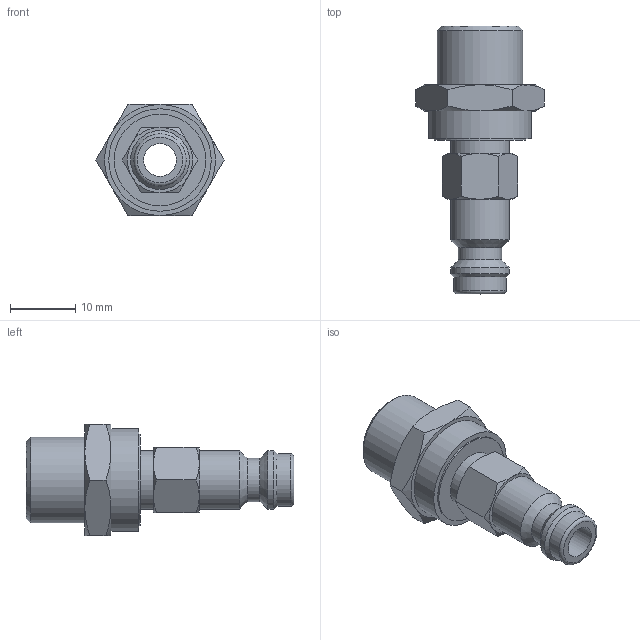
import cadquery as cq
import math


bore_diameter = 5.0
thread_diameter = 13.157
thread_chamfer = 0.7
thread_length = 9.0

large_hex_width = 17.0
large_hex_length = 4.0
collar_diameter = 15.7
collar_length = 4.25
lip_diameter = 14.0
lip_length = 0.25

shank_diameter = 9.0
neck_length = 2.0
small_hex_width = 10.0
small_hex_length = 7.0

shank_length = 6.2
groove_diameter = 6.6
groove_floor_length = 1.9
bead_length = 0.9
tip_diameter = 8.0
tip_round = 0.5
total_length = 41.0

hex_chamfer_angle = math.radians(30)

large_hex_start = thread_length
collar_start = large_hex_start + large_hex_length
lip_start = collar_start + collar_length
neck_start = lip_start + lip_length
small_hex_start = neck_start + neck_length
shank_start = small_hex_start + small_hex_length
groove_start = shank_start + shank_length
groove_slope = (shank_diameter - groove_diameter) / 2
groove_floor_start = groove_start + groove_slope
groove_floor_end = groove_floor_start + groove_floor_length
bead_start = groove_floor_end + groove_slope
bead_end = bead_start + bead_length
tip_start = bead_end + (shank_diameter - tip_diameter) / 2


def cylinder(diameter, start, length):
    """Cylinder on the part axis, starting at a distance from the threaded end."""
    return cq.Workplane("XZ", origin=(0, -start, 0)).circle(diameter / 2).extrude(length)


def cone_ended_envelope(width, corner_radius, start, length):
    """Turned body that cuts the corners of a hexagon at both of its ends."""
    end_radius = width / 2
    chamfer_length = (corner_radius - end_radius) * math.tan(hex_chamfer_angle)
    end = start + length
    profile = [
        (0, -start),
        (end_radius, -start),
        (corner_radius, -start - chamfer_length),
        (corner_radius, -end + chamfer_length),
        (end_radius, -end),
        (0, -end),
    ]
    return cq.Workplane("XY").polyline(profile).close().revolve(360, (0, 0, 0), (0, 1, 0))


def chamfered_hexagon(width, start, length):
    """Hexagon with flats facing +Z and -Z and chamfered corners."""
    corner_radius = width / math.sqrt(3)
    prism = (
        cq.Workplane("XZ", origin=(0, -start, 0))
        .polygon(6, 2 * corner_radius)
        .extrude(length)
    )
    return prism.intersect(cone_ended_envelope(width, corner_radius, start, length))


def threaded_end():
    """Plain cylinder in place of the thread, chamfered at its free end."""
    return cylinder(thread_diameter, 0, thread_length).faces(">Y").chamfer(thread_chamfer)


def collar():
    """Collar with a shallow raised lip on its front face."""
    body = cylinder(collar_diameter, collar_start, collar_length)
    return body.union(cylinder(lip_diameter, lip_start, lip_length))


def plug():
    """Shank with locking groove, bead and rounded tip."""
    shank_radius = shank_diameter / 2
    groove_radius = groove_diameter / 2
    tip_radius = tip_diameter / 2
    profile = [
        (0, -shank_start),
        (shank_radius, -shank_start),
        (shank_radius, -groove_start),
        (groove_radius, -groove_floor_start),
        (groove_radius, -groove_floor_end),
        (shank_radius, -bead_start),
        (shank_radius, -bead_end),
        (tip_radius, -tip_start),
        (tip_radius, -total_length),
        (0, -total_length),
    ]
    body = cq.Workplane("XY").polyline(profile).close().revolve(360, (0, 0, 0), (0, 1, 0))
    return body.faces("<Y").edges().fillet(tip_round)


result = (
    threaded_end()
    .union(chamfered_hexagon(large_hex_width, large_hex_start, large_hex_length))
    .union(collar())
    .union(cylinder(shank_diameter, neck_start, neck_length))
    .union(chamfered_hexagon(small_hex_width, small_hex_start, small_hex_length))
    .union(plug())
    .cut(cylinder(bore_diameter, 0, total_length))
)